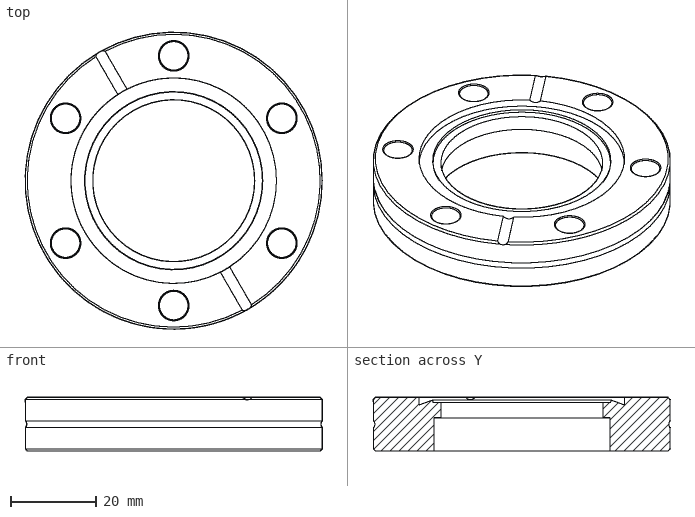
import cadquery as cq
import math

FLANGE_DIAMETER = 69.85
THICKNESS = 12.7
RIM_CHAMFER = 0.5

RIM_GROOVE_WIDTH = 1.5
RIM_GROOVE_DEPTH = 0.28

RECESS_DIAMETER = 48.31
KNIFE_DIAMETER = 41.9
KNIFE_DEPTH = 0.6
KNIFE_SLOPE_DEG = 20.0
KNIFE_FOOT_DIAMETER = 41.7
LEDGE_DEPTH = 1.2

BORE_DIAMETER = 38.0
SOCKET_DIAMETER = 41.3
LIP_BOTTOM_DEPTH = 4.85

BOLT_COUNT = 6
BOLT_HOLE_DIAMETER = 6.7
BOLT_CIRCLE_DIAMETER = 58.7
BOLT_HOLE_CHAMFER = 0.25
COUNTERSINK_ANGLE = 90.0
FIRST_BOLT_ANGLE = 90.0

LEAK_GROOVE_WIDTH = 2.5
LEAK_GROOVE_DEPTH = 0.6
FIRST_LEAK_GROOVE_ANGLE = FIRST_BOLT_ANGLE + 180 / BOLT_COUNT
LEAK_GROOVE_ANGLES = (FIRST_LEAK_GROOVE_ANGLE, FIRST_LEAK_GROOVE_ANGLE + 180)


def arc_radius(chord, rise):
    """Radius of the circular arc with the given chord and rise."""
    return ((chord / 2) ** 2 + rise ** 2) / (2 * rise)


def make_ring():
    """Revolve the flange section, with the sealing face at Z = THICKNESS."""
    rim = FLANGE_DIAMETER / 2
    face_edge = rim - RIM_CHAMFER
    groove_low = (THICKNESS - RIM_GROOVE_WIDTH) / 2
    groove_high = (THICKNESS + RIM_GROOVE_WIDTH) / 2
    recess = RECESS_DIAMETER / 2
    knife = KNIFE_DIAMETER / 2
    foot = KNIFE_FOOT_DIAMETER / 2
    bore = BORE_DIAMETER / 2
    socket = SOCKET_DIAMETER / 2
    recess_depth = KNIFE_DEPTH + (recess - knife) * math.tan(math.radians(KNIFE_SLOPE_DEG))

    section = (
        cq.Workplane("XZ")
        .moveTo(socket, 0)
        .lineTo(face_edge, 0)
        .lineTo(rim, RIM_CHAMFER)
        .lineTo(rim, groove_low)
        .threePointArc((rim - RIM_GROOVE_DEPTH, THICKNESS / 2), (rim, groove_high))
        .lineTo(rim, THICKNESS - RIM_CHAMFER)
        .lineTo(face_edge, THICKNESS)
        .lineTo(recess, THICKNESS)
        .lineTo(recess, THICKNESS - recess_depth)
        .lineTo(knife, THICKNESS - KNIFE_DEPTH)
        .lineTo(foot, THICKNESS - LEDGE_DEPTH)
        .lineTo(bore, THICKNESS - LEDGE_DEPTH)
        .lineTo(bore, THICKNESS - LIP_BOTTOM_DEPTH)
        .lineTo(socket, THICKNESS - LIP_BOTTOM_DEPTH)
        .close()
    )
    return section.revolve(360, (0, 0, 0), (0, 1, 0))


def cut_bolt_holes(body):
    """Cut the through holes, countersunk slightly at the sealing face."""
    return (
        body.faces(">Z")
        .workplane(origin=(0, 0, THICKNESS))
        .polarArray(BOLT_CIRCLE_DIAMETER / 2, FIRST_BOLT_ANGLE, 360, BOLT_COUNT)
        .cskHole(BOLT_HOLE_DIAMETER, BOLT_HOLE_DIAMETER + 2 * BOLT_HOLE_CHAMFER, COUNTERSINK_ANGLE)
    )


def make_leak_groove_cutter(angle):
    """Radial cylinder that starts inside the recess and runs out past the rim."""
    radius = arc_radius(LEAK_GROOVE_WIDTH, LEAK_GROOVE_DEPTH)
    start = (RECESS_DIAMETER + KNIFE_DIAMETER) / 4
    axis_height = THICKNESS - LEAK_GROOVE_DEPTH + radius
    cutter = (
        cq.Workplane("YZ", origin=(start, 0, axis_height))
        .circle(radius)
        .extrude(FLANGE_DIAMETER / 2)
    )
    return cutter.rotate((0, 0, 0), (0, 0, 1), angle)


result = cut_bolt_holes(make_ring())
for groove_angle in LEAK_GROOVE_ANGLES:
    result = result.cut(make_leak_groove_cutter(groove_angle))